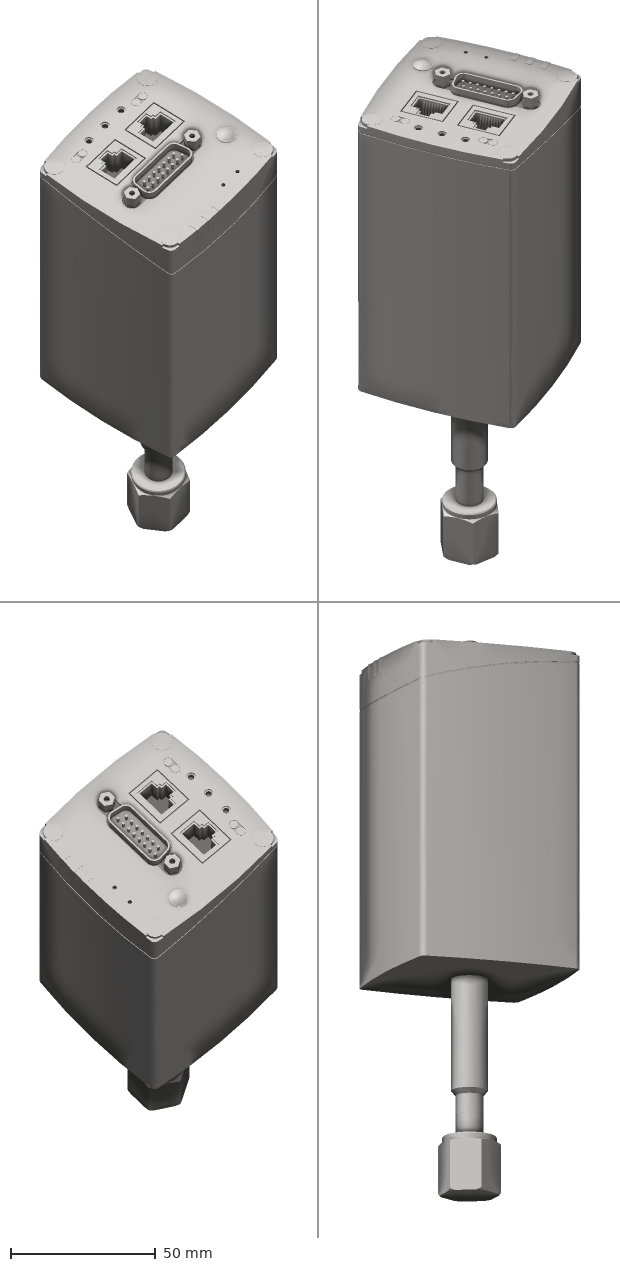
import cadquery as cq
import math

OVERALL_HEIGHT = 192.8
LID_TOP = 188.5
BODY_BOTTOM = 76.5
TUBE_BOTTOM = 37.0
TAPER_BOTTOM = 35.3
NECK_STEP = 28.3
NUT_TOP = 20.6

BODY_SPAN = 62.7
LID_OVERHANG = 0.1
CORNER = 29.5
CORNER_RADIUS = 2.1
SEAM_REACH = 32.8
SEAM_START = 185.3
SEAM_MIDDLE = 182.0
SEAM_END = 174.1
SEAM_WIDTH = 0.5
SEAM_DEPTH = 0.2

SCREW_POSITION = 25.6
SCREW_DIAMETER = 7.0
SCREW_RISE = 0.1
LEDGE_DEPTH = 1.2

TUBE_DIAMETER = 12.7
TUBE_OVERLAP = 2.0
UPPER_NECK_DIAMETER = 9.8
LOWER_NECK_DIAMETER = 9.6
NUT_FLATS = 19.0
NUT_CORNERS = NUT_FLATS / math.cos(math.pi / 6)
COLLAR_DIAMETER = 18.9
COLLAR_EDGE = 0.4
COLLAR_HEIGHT = 2.1
NUT_CHAMFER = 0.8

DSUB_X = 5.0
DSUB_Y = -4.2
SHELL_TOP = 191.3
SHELL_WIDTH = 9.8
SHELL_LONG_SIDE = 25.8
SHELL_SHORT_SIDE = 23.1
SHELL_RADIUS = 3.0
SHELL_WALL = 0.5
SHELL_GAP = 0.5
DSUB_FLOOR_DEPTH = 0.8
JACKSCREW_SPACING = 33.2
JACKSCREW_FLATS = 5.0
JACKSCREW_HOLE = 2.1
JACKSCREW_HOLE_DEPTH = 2.9
JACKSCREW_CUTOUT = 7.0
LEFT_PIN_COUNT = 7
RIGHT_PIN_COUNT = 8
PIN_DIAMETER = 1.0
PIN_PITCH = 2.7
PIN_ROW_SPACING = 2.7
PIN_TOP = 190.3

SOCKET_X = -10.2
SOCKET_YS = (10.6, -10.8)
SOCKET_LENGTH = 13.9
SOCKET_WIDTH = 16.2
SOCKET_GAP = 0.48
SOCKET_GAP_DEPTH = 0.8
PORT_LENGTH = 7.0
PORT_WIDTH = 12.3
PORT_END = 4.5
PORT_DEPTH = 9.6
PORT_LIP = 0.5
LATCH_LENGTH = 3.3
LATCH_WIDTH = 5.0
LATCH_NECK_LENGTH = 1.2
LATCH_NECK_WIDTH = 7.0
CONTACT_COUNT = 8
CONTACT_PITCH = 1.05
CONTACT_WIDTH = 0.52
CONTACT_REACH = 2.3

BUTTON_X = 11.8
BUTTON_Y = 22.8
BUTTON_BASE_DIAMETER = 7.0
BUTTON_BASE_HEIGHT = 0.29
BUTTON_CAP_DIAMETER = 6.4
BUTTON_CAP_HEIGHT = 1.0
LIGHT_X = -23.7
LIGHT_PITCH = 8.9
LIGHT_DIAMETER = 3.0
LIGHT_HOLE = 2.1
LIGHT_RECESS = 0.5
LIGHT_HOLE_DEPTH = 2.0
LED_SLOT_X = -21.8
LED_SLOT_Y = 16.5
LED_SLOT_LENGTH = 7.0
LED_SLOT_WIDTH = 3.3
LED_SLOT_DEPTH = 0.4
LED_DIAMETER = 3.0
SMALL_HOLE_X = 25.0
SMALL_HOLE_YS = (12.3, 4.6)
SMALL_HOLE_DIAMETER = 1.5
SMALL_HOLE_DEPTH = 2.0
LIGHT_PIPE_YS = (-4.5, -10.2, -16.0)
LIGHT_PIPE_WIDTH = 2.1
LIGHT_PIPE_RADIUS = 0.5
LIGHT_PIPE_LENGTH = 4.2
LIGHT_PIPE_BOTTOM = 183.0
LIGHT_PIPE_RISE = 0.13


def housing_block(overhang=0.0, inset=0.0):
    """Square block with bulged sides and rounded corners.

    The overhang deepens the bulge of the -X side, and the inset shrinks the outline all round.
    """
    half = BODY_SPAN / 2 - inset
    corner = CORNER - inset
    outline = (
        cq.Workplane("XY")
        .workplane(offset=BODY_BOTTOM)
        .moveTo(-corner, -corner)
        .threePointArc((0, -half), (corner, -corner))
        .threePointArc((half, 0), (corner, corner))
        .threePointArc((0, half), (-corner, corner))
        .threePointArc((-half - overhang, 0), (-corner, -corner))
        .close()
    )
    return outline.extrude(LID_TOP - BODY_BOTTOM).edges("|Z").fillet(CORNER_RADIUS - inset)


def region_above_seam(drop):
    """Everything above the curved seam, with the curve lowered by the drop."""
    return (
        cq.Workplane("XZ")
        .moveTo(-SEAM_REACH, SEAM_START - drop)
        .threePointArc((0, SEAM_MIDDLE - drop), (SEAM_REACH, SEAM_END - drop))
        .lineTo(SEAM_REACH, OVERALL_HEIGHT)
        .lineTo(-SEAM_REACH, OVERALL_HEIGHT)
        .close()
        .extrude(BODY_SPAN, both=True)
    )


def housing():
    """Body and lid joined by a slightly smaller core, which leaves a seam groove between them."""
    lid = housing_block(overhang=LID_OVERHANG).intersect(region_above_seam(0))
    body = housing_block().cut(region_above_seam(SEAM_WIDTH))
    core = housing_block(inset=SEAM_DEPTH)
    return body.union(core).union(lid)


def lid_disc(x, y, diameter, bottom, top):
    """Upright cylinder between two heights."""
    return (
        cq.Workplane("XY").workplane(offset=bottom).center(x, y).circle(diameter / 2).extrude(top - bottom)
    )


def lid_box(x, y, length, width, bottom, top):
    """Upright box between two heights, centred on x and y."""
    return (
        cq.Workplane("XY").workplane(offset=bottom).center(x, y).rect(length, width).extrude(top - bottom)
    )


def add_corner_screws(part):
    """Screw heads standing on ledges cut into the lid corners."""
    ledge = LID_TOP - LEDGE_DEPTH
    reach = BODY_SPAN / 2 - SCREW_POSITION
    for side_x in (-1, 1):
        for side_y in (-1, 1):
            x = side_x * SCREW_POSITION
            y = side_y * SCREW_POSITION
            corner_x = x + side_x * reach / 2
            corner_y = y + side_y * reach / 2
            part = part.cut(lid_box(corner_x, corner_y, reach, reach, ledge, LID_TOP))
            part = part.union(lid_disc(x, y, SCREW_DIAMETER, ledge - LEDGE_DEPTH, LID_TOP + SCREW_RISE))
    return part


def stem():
    """Tube and stepped neck reaching down into the nut."""
    tube = TUBE_DIAMETER / 2
    upper = UPPER_NECK_DIAMETER / 2
    lower = LOWER_NECK_DIAMETER / 2
    inside_nut = NUT_TOP / 2
    inside_body = BODY_BOTTOM + TUBE_OVERLAP
    return (
        cq.Workplane("XZ")
        .moveTo(0, inside_nut)
        .lineTo(lower, inside_nut)
        .lineTo(lower, NECK_STEP)
        .lineTo(upper, NECK_STEP)
        .lineTo(upper, TAPER_BOTTOM)
        .lineTo(tube, TUBE_BOTTOM)
        .lineTo(tube, inside_body)
        .lineTo(0, inside_body)
        .close()
        .revolve(360, (0, 0, 0), (0, 1, 0))
    )


def nut():
    """Hexagonal coupling nut with a round collar and chamfered ends."""
    corner = NUT_CORNERS / 2
    collar = COLLAR_DIAMETER / 2
    collar_bottom = NUT_TOP - COLLAR_HEIGHT
    hexagon = cq.Workplane("XY").polygon(6, NUT_CORNERS).extrude(NUT_TOP).rotate((0, 0, 0), (0, 0, 1), 30)
    turned = (
        cq.Workplane("XZ")
        .lineTo(corner - NUT_CHAMFER, 0)
        .lineTo(corner, NUT_CHAMFER)
        .lineTo(corner, collar_bottom - (corner - collar) / 2)
        .lineTo(collar, collar_bottom)
        .lineTo(collar, NUT_TOP - COLLAR_EDGE)
        .lineTo(collar - COLLAR_EDGE, NUT_TOP)
        .lineTo(0, NUT_TOP)
        .close()
        .revolve(360, (0, 0, 0), (0, 1, 0))
    )
    return hexagon.intersect(turned)


def dsub_prism(growth, bottom, top):
    """D-shaped prism, offset outwards from the shell by the growth."""
    half_width = SHELL_WIDTH / 2 + growth
    half_long = SHELL_LONG_SIDE / 2 + growth
    half_short = SHELL_SHORT_SIDE / 2 + growth
    corners = [
        (-half_width, -half_short),
        (half_width, -half_long),
        (half_width, half_long),
        (-half_width, half_short),
    ]
    prism = cq.Workplane("XY").workplane(offset=bottom).polyline(corners).close().extrude(top - bottom)
    return prism.edges("|Z").fillet(SHELL_RADIUS + growth).translate((DSUB_X, DSUB_Y, 0))


def add_dsub(part):
    """Fifteen-pin D-sub connector with two hexagonal jackscrews, in a shallow lid cutout."""
    floor = LID_TOP - DSUB_FLOOR_DEPTH
    slot_length = JACKSCREW_SPACING + JACKSCREW_CUTOUT
    cutout = (
        cq.Workplane("XY")
        .workplane(offset=floor)
        .center(DSUB_X, DSUB_Y)
        .slot2D(slot_length, JACKSCREW_CUTOUT, 90)
        .extrude(DSUB_FLOOR_DEPTH)
    )
    part = part.cut(cutout).cut(dsub_prism(SHELL_GAP, floor, LID_TOP))
    part = part.union(dsub_prism(0, floor, SHELL_TOP).cut(dsub_prism(-SHELL_WALL, floor, SHELL_TOP)))

    for side in (-1, 1):
        y = DSUB_Y + side * JACKSCREW_SPACING / 2
        jackscrew = (
            cq.Workplane("XY")
            .polygon(6, JACKSCREW_FLATS / math.cos(math.pi / 6))
            .extrude(OVERALL_HEIGHT - floor)
            .rotate((0, 0, 0), (0, 0, 1), 30)
            .translate((DSUB_X, y, floor))
        )
        hole_bottom = OVERALL_HEIGHT - JACKSCREW_HOLE_DEPTH
        part = part.union(jackscrew).cut(lid_disc(DSUB_X, y, JACKSCREW_HOLE, hole_bottom, OVERALL_HEIGHT))

    for side, count in ((-1, LEFT_PIN_COUNT), (1, RIGHT_PIN_COUNT)):
        x = DSUB_X + side * PIN_ROW_SPACING / 2
        for index in range(count):
            y = DSUB_Y + (index - (count - 1) / 2) * PIN_PITCH
            part = part.union(lid_disc(x, y, PIN_DIAMETER, floor, PIN_TOP))
    return part


def port_cavity(y, inset, bottom, top):
    """Port opening with the stepped latch slot on its -X side."""
    port_center = SOCKET_X + PORT_END - PORT_LENGTH / 2
    port_edge = SOCKET_X + PORT_END - PORT_LENGTH
    length = PORT_LENGTH - 2 * inset
    cavity = lid_box(port_center, y, length, PORT_WIDTH - 2 * inset, bottom, top)
    for slot_length, slot_width in (
        (LATCH_NECK_LENGTH, LATCH_NECK_WIDTH),
        (LATCH_LENGTH, LATCH_WIDTH),
    ):
        reach = slot_length + length / 2
        slot_x = port_edge - slot_length + inset + reach / 2
        cavity = cavity.union(lid_box(slot_x, y, reach, slot_width - 2 * inset, bottom, top))
    return cavity


def add_socket(part, y):
    """Network socket framed by a narrow gap, with a row of sloping contacts in its port."""
    gap_floor = LID_TOP - SOCKET_GAP_DEPTH
    frame = lid_box(SOCKET_X, y, SOCKET_LENGTH, SOCKET_WIDTH, gap_floor, LID_TOP)
    jack_length = SOCKET_LENGTH - 2 * SOCKET_GAP
    jack_width = SOCKET_WIDTH - 2 * SOCKET_GAP
    part = part.cut(frame.cut(lid_box(SOCKET_X, y, jack_length, jack_width, gap_floor, LID_TOP)))

    lip_floor = LID_TOP - PORT_LIP
    port_floor = LID_TOP - PORT_DEPTH
    lip = port_cavity(y, 0, lip_floor, LID_TOP)
    part = part.cut(lip).cut(port_cavity(y, PORT_LIP, port_floor, lip_floor))

    wall = SOCKET_X + PORT_END - PORT_LIP
    contact = (
        cq.Workplane("XZ")
        .moveTo(wall, lip_floor - PORT_LIP)
        .lineTo(wall - CONTACT_REACH, port_floor)
        .lineTo(wall, port_floor)
        .close()
        .extrude(CONTACT_WIDTH / 2, both=True)
    )
    for index in range(CONTACT_COUNT):
        offset = (index - (CONTACT_COUNT - 1) / 2) * CONTACT_PITCH
        part = part.union(contact.translate((0, y + offset, 0)))
    return part


def button():
    """Low domed button on a round base."""
    base_top = LID_TOP + BUTTON_BASE_HEIGHT
    radius = BUTTON_CAP_DIAMETER / 2
    dome_radius = (radius**2 + BUTTON_CAP_HEIGHT**2) / (2 * BUTTON_CAP_HEIGHT)
    cap = (
        cq.Workplane("XZ")
        .moveTo(0, base_top)
        .lineTo(radius, base_top)
        .radiusArc((0, base_top + BUTTON_CAP_HEIGHT), -dome_radius)
        .lineTo(0, base_top)
        .close()
        .revolve(360, (0, 0, 0), (0, 1, 0))
        .translate((BUTTON_X, BUTTON_Y, 0))
    )
    return lid_disc(BUTTON_X, BUTTON_Y, BUTTON_BASE_DIAMETER, LID_TOP, base_top).union(cap)


def cut_lights(part):
    """Three counterbored light holes, two twin-LED slots and two small holes."""
    recess = LID_TOP - LIGHT_RECESS
    for index in (-1, 0, 1):
        y = index * LIGHT_PITCH
        part = part.cut(lid_disc(LIGHT_X, y, LIGHT_DIAMETER, recess, LID_TOP))
        part = part.cut(lid_disc(LIGHT_X, y, LIGHT_HOLE, recess - LIGHT_HOLE_DEPTH, recess))

    led_floor = LID_TOP - LED_SLOT_DEPTH
    led_offset = (LED_SLOT_LENGTH - LED_SLOT_WIDTH) / 2
    for slot_y in (-LED_SLOT_Y, LED_SLOT_Y):
        slot = (
            cq.Workplane("XY")
            .workplane(offset=led_floor)
            .center(LED_SLOT_X, slot_y)
            .slot2D(LED_SLOT_LENGTH, LED_SLOT_WIDTH, 90)
            .extrude(LED_SLOT_DEPTH)
        )
        part = part.cut(slot)
        for led_y in (slot_y - led_offset, slot_y + led_offset):
            part = part.union(lid_disc(LED_SLOT_X, led_y, LED_DIAMETER, led_floor, LID_TOP))

    for y in SMALL_HOLE_YS:
        part = part.cut(lid_disc(SMALL_HOLE_X, y, SMALL_HOLE_DIAMETER, LID_TOP - SMALL_HOLE_DEPTH, LID_TOP))
    return part


def add_light_pipes(part):
    """Light pipes wrapping from the lid top over its +X edge, following the bulge of that side."""
    half = BODY_SPAN / 2
    sagitta = half - CORNER
    bulge_radius = (CORNER**2 + sagitta**2) / (2 * sagitta)
    top = LID_TOP + LIGHT_PIPE_RISE
    for y in LIGHT_PIPE_YS:
        edge = half + LIGHT_PIPE_RISE - bulge_radius + math.sqrt(bulge_radius**2 - y**2)
        pipe = lid_box(
            edge - LIGHT_PIPE_LENGTH / 2, y, LIGHT_PIPE_LENGTH, LIGHT_PIPE_WIDTH, LIGHT_PIPE_BOTTOM, top
        )
        part = part.union(pipe.edges("|Z and <X").fillet(LIGHT_PIPE_RADIUS))
    return part


result = housing().union(stem()).union(nut())
result = add_corner_screws(result)
result = add_dsub(result)
for socket_y in SOCKET_YS:
    result = add_socket(result, socket_y)
result = result.union(button())
result = cut_lights(result)
result = add_light_pipes(result)